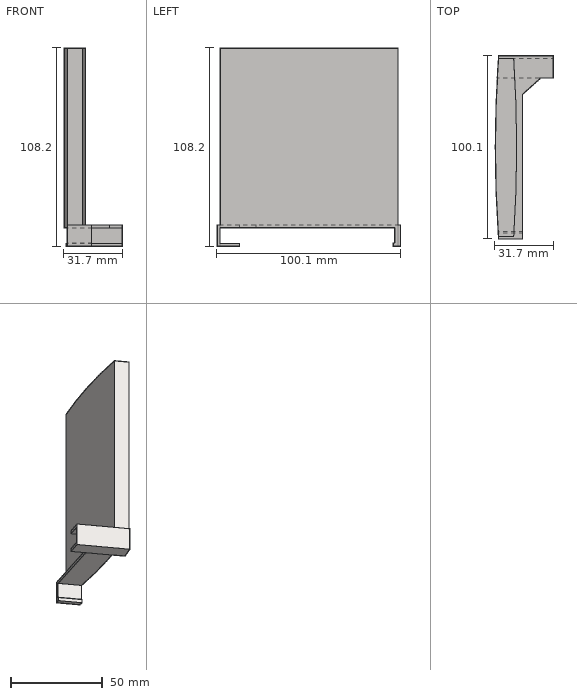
import cadquery as cq

depth = 31.7
width = 100.1
height = 108.2

sheet = 1.6

panel_low_y = 1.3
panel_high_y = width - sheet
panel_mid_y = (panel_low_y + panel_high_y) / 2
panel_edge_front = 1.7
panel_edge_back = 10.1
panel_crown_back = 11.7

bracket_height = 11.8
shelf_z = bracket_height - sheet
spine_back = 14.9
arm_width = 12.3
arm_straight = 6.9
gusset_width = 8.9

hook_wall = 3.2
hook_reach = 4.0
hook_height = 2.0


def box(x0, x1, y0, y1, z0, z1):
    """Box between two opposite corners."""
    return cq.Workplane("XY").box(x1 - x0, y1 - y0, z1 - z0, centered=False).translate((x0, y0, z0))


def bowed_prism(bottom, back_edge, back_crown):
    """Upright prism with the panel's bowed front; its back bows from back_edge to back_crown."""
    outline = (
        cq.Workplane("XY")
        .workplane(offset=bottom)
        .moveTo(back_edge, panel_high_y)
        .lineTo(panel_edge_front, panel_high_y)
        .threePointArc((0, panel_mid_y), (panel_edge_front, panel_low_y))
        .lineTo(back_edge, panel_low_y)
    )
    if back_crown > back_edge:
        outline = outline.threePointArc((back_crown, panel_mid_y), (back_edge, panel_high_y))
    return outline.close().extrude(height - bottom)


def curved_panel():
    """Upright panel with bowed front and back faces."""
    return bowed_prism(shelf_z, panel_edge_back, panel_crown_back)


def flush_with_panel(body):
    """Trim a body so that its front follows the bowed front of the panel."""
    return body.intersect(bowed_prism(0, depth, depth))


def shelf():
    """Flat plate under the panel, widening into the arm through a sloped gusset."""
    arm_y = width - arm_width
    outline = [
        (panel_edge_front, 0),
        (spine_back, 0),
        (spine_back, arm_y - gusset_width),
        (depth - arm_straight, arm_y),
        (depth, arm_y),
        (depth, width),
        (panel_edge_front, width),
    ]
    return cq.Workplane("XY").workplane(offset=shelf_z).polyline(outline).close().extrude(sheet)


def arm_channel():
    """Side wall and lower plate that form a channel with the arm."""
    wall = box(panel_edge_front, depth, width - sheet, width, 0, bracket_height)
    foot = box(0, depth, width - arm_width, panel_high_y, 0, sheet)
    return wall.union(flush_with_panel(foot))


def hook():
    """End wall with a small inward lip along its bottom edge."""
    outer_wall = box(panel_edge_front, spine_back, 0, panel_low_y, 0, bracket_height)
    inner_wall = box(0, spine_back, panel_low_y, hook_wall, 0, bracket_height)
    lip = box(0, spine_back, panel_low_y, hook_reach, 0, hook_height)
    return outer_wall.union(flush_with_panel(inner_wall.union(lip)))


result = curved_panel().union(shelf()).union(arm_channel()).union(hook())